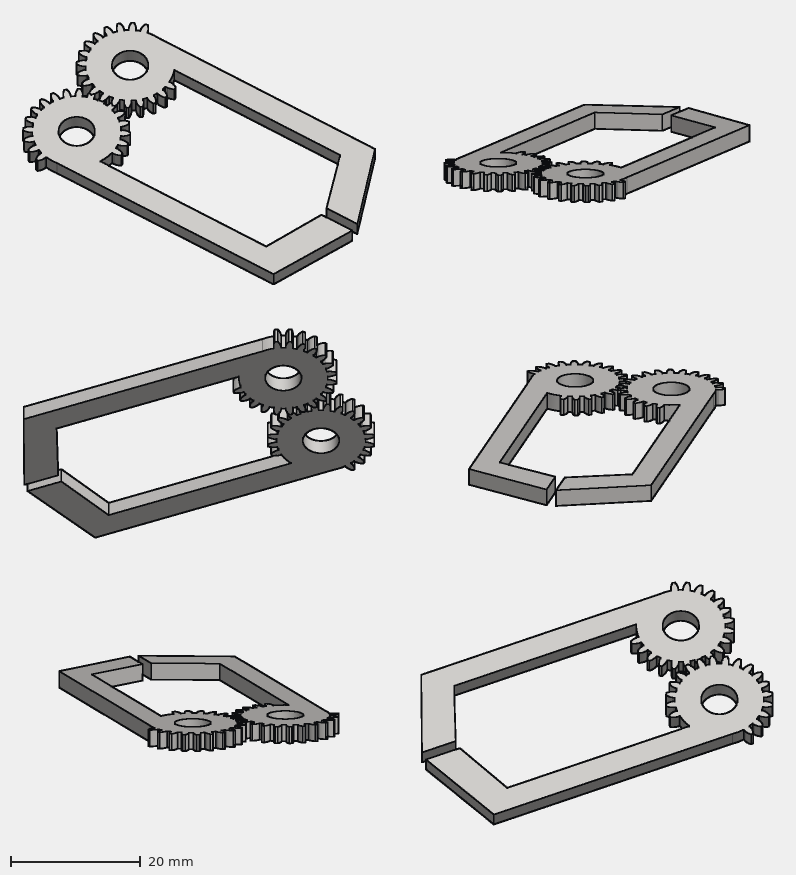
import cadquery as cq
import math

overall_length = 54.45
thickness = 2.6
axis_distance = 15.25
lower_shift_x = 0.05

tooth_slots = 24
tooth_count = 18
first_tooth_angle = 105.0
tip_radius = 8.3
pitch_radius = 7.6
root_radius = 6.85
pressure_angle = math.radians(20)
bore_diameter = 5.6
tooth_pitch = 360 / tooth_slots
base_radius = pitch_radius * math.cos(pressure_angle)

arm_start_x = 0.7
arm_outer_y = math.sqrt(root_radius**2 - arm_start_x**2)
arm_width = 3.9
arm_inner_y = arm_outer_y - arm_width
jaw_gap = 1.45
jaw_tip_y = -(axis_distance - jaw_gap) / 2
jaw_tip_x = overall_length - tip_radius - lower_shift_x
jaw_width_x = 5.65
outer_bend_x = 40.5
inner_bend_x = 36.65


def involute(angle):
    return math.tan(angle) - angle


def flank_point(radius, side):
    """Point on a tooth flank of the tooth along +X; side is +1 or -1."""
    roll = involute(math.acos(base_radius / radius))
    half_angle = math.pi / (2 * tooth_slots) + involute(pressure_angle) - roll
    return (radius * math.cos(half_angle), side * radius * math.sin(half_angle))


def make_tooth():
    """One involute tooth along +X, with radial flanks below the base circle."""
    foot_x = (bore_diameter / 2 + root_radius) / 2
    base_x, base_y = flank_point(base_radius, 1)
    foot_y = foot_x * base_y / base_x
    return (
        cq.Workplane("XY")
        .moveTo(foot_x, -foot_y)
        .lineTo(base_x, -base_y)
        .threePointArc(flank_point(pitch_radius, -1), flank_point(tip_radius, -1))
        .threePointArc((tip_radius, 0), flank_point(tip_radius, 1))
        .threePointArc(flank_point(pitch_radius, 1), (base_x, base_y))
        .lineTo(foot_x, foot_y)
        .close()
        .extrude(thickness)
    )


def make_arm():
    """Straight arm with a slanted jaw."""
    outline = [
        (arm_start_x, arm_outer_y),
        (outer_bend_x, arm_outer_y),
        (jaw_tip_x, jaw_tip_y),
        (jaw_tip_x - jaw_width_x, jaw_tip_y),
        (inner_bend_x, arm_inner_y),
        (arm_start_x, arm_inner_y),
    ]
    return cq.Workplane("XY").polyline(outline).close().extrude(thickness)


def make_gripper():
    """Partly toothed gear with its arm, gear axis on Z."""
    gripper = cq.Workplane("XY").circle(root_radius).extrude(thickness)
    tooth = make_tooth()
    for index in range(tooth_count):
        angle = first_tooth_angle + index * tooth_pitch
        gripper = gripper.union(tooth.rotate((0, 0, 0), (0, 0, 1), angle))
    bore = cq.Workplane("XY").circle(bore_diameter / 2).extrude(thickness)
    return gripper.union(make_arm()).cut(bore)


gripper = make_gripper()
upper_gripper = gripper.translate((0, axis_distance / 2, 0))
lower_gripper = (
    gripper.mirror("XZ")
    .translate((lower_shift_x, -axis_distance / 2, 0))
    .cut(upper_gripper)
)

result = cq.Compound.makeCompound([upper_gripper.val(), lower_gripper.val()])